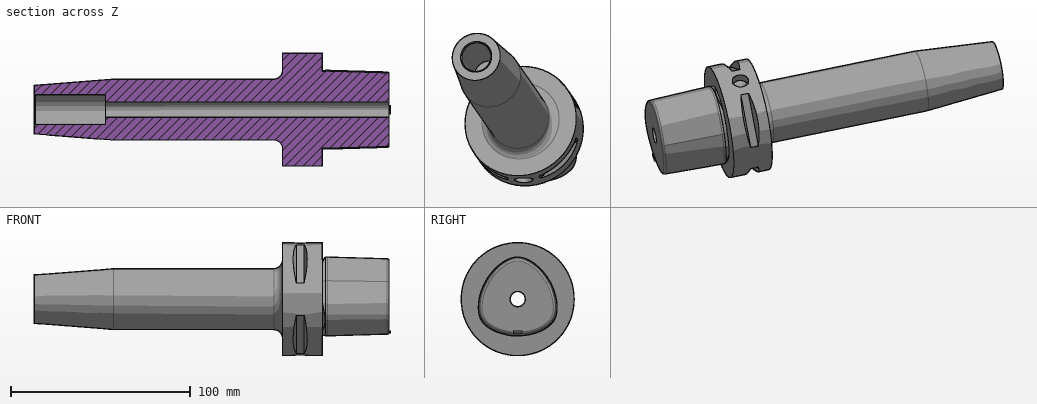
import cadquery as cq
import math

cone_end = 44.2
flange_start = 138.0
flange_end = 160.2
neck_end = 162.0
taper_start = 163.2
body_end = 197.5
overall_length = 198.0

nose_diameter = 27.1
shank_diameter = 34.0
flange_diameter = 63.0
shank_fillet = 4.8

socket_diameter = 16.5
socket_depth = 39.6
socket_chamfer = 0.5
through_diameter = 8.3

lobe_height = 1.48
coupling_radius = 22.0
coupling_end_radius = 21.0
neck_inset = 0.2
relief_radius = 21.8
coupling_end_round = 1.2
points_per_lobe = 12

groove_x = 148.0
slot_floor_width = 4.4
slot_floor_radius = 27.7
slot_side_angle = 25.0
slot_height = 6.0
dimple_diameter = 9.0
dimple_depth = 5.0
drill_tip_angle = 118.0
pocket_diameter = 10.0
pocket_depth = 4.5

nub_width = 4.8
nub_height = 1.2
nub_z = -18.2
nub_root = 3.0


def turned_body():
    nose_radius = nose_diameter / 2
    shank_radius = shank_diameter / 2
    flange_radius = flange_diameter / 2
    arc_offset = shank_fillet * math.sqrt(0.5)
    fillet_start = flange_start - shank_fillet
    fillet_top = shank_radius + shank_fillet
    profile = (
        cq.Workplane("XY")
        .moveTo(0, 0)
        .lineTo(0, nose_radius)
        .lineTo(cone_end, shank_radius)
        .lineTo(fillet_start, shank_radius)
        .threePointArc(
            (fillet_start + arc_offset, fillet_top - arc_offset),
            (flange_start, fillet_top),
        )
        .lineTo(flange_start, flange_radius)
        .lineTo(flange_end, flange_radius)
        .lineTo(flange_end, 0)
        .close()
    )
    return profile.revolve(360, (0, 0, 0), (1, 0, 0))


def lobe_point(x, mean_radius, angle):
    """Point on a constant-width curve with one lobe toward +Z."""
    phase = 3 * (angle - math.pi / 2)
    support = mean_radius + lobe_height * math.cos(phase)
    slope = -3 * lobe_height * math.sin(phase)
    y = support * math.cos(angle) - slope * math.sin(angle)
    z = support * math.sin(angle) + slope * math.cos(angle)
    return cq.Vector(x, y, z)


def lobed_wire(x, mean_radius):
    """Closed outline of three smooth arcs, joined midway between the lobes."""
    edges = []
    lobe_span = 2 * math.pi / 3
    for lobe in range(3):
        start = math.pi / 6 + lobe * lobe_span
        points = [
            lobe_point(x, mean_radius, start + lobe_span * step / points_per_lobe)
            for step in range(points_per_lobe + 1)
        ]
        tangents = [
            cq.Vector(0, -math.sin(angle), math.cos(angle))
            for angle in (start, start + lobe_span)
        ]
        edges.append(cq.Edge.makeSpline(points, tangents=tangents))
    return cq.Wire.assembleEdges(edges)


def lobed_solid(start, start_radius, end, end_radius):
    wires = [lobed_wire(start, start_radius), lobed_wire(end, end_radius)]
    return cq.Workplane(cq.Solid.makeLoft(wires, True))


def coupling():
    neck_radius = coupling_radius - neck_inset
    neck = lobed_solid(flange_end, neck_radius, neck_end, neck_radius)
    collar = lobed_solid(neck_end, coupling_radius, taper_start, coupling_radius)
    taper = lobed_solid(taper_start, coupling_radius, body_end, coupling_end_radius)
    taper = taper.faces(">X").edges().fillet(coupling_end_round)
    lobe_radius = coupling_radius + lobe_height
    relief = (
        cq.Workplane("XY")
        .polyline([
            (flange_end, 0),
            (flange_end, relief_radius),
            (neck_end, lobe_radius),
            (neck_end, 0),
        ])
        .close()
        .revolve(360, (0, 0, 0), (1, 0, 0))
    )
    return neck.intersect(relief).union(collar).union(taper)


def gripper_slot(angle):
    half_floor = slot_floor_width / 2
    half_top = half_floor + slot_height * math.tan(math.radians(slot_side_angle))
    slot_top = slot_floor_radius + slot_height
    return (
        cq.Workplane("XZ")
        .polyline([
            (groove_x - half_floor, slot_floor_radius),
            (groove_x + half_floor, slot_floor_radius),
            (groove_x + half_top, slot_top),
            (groove_x - half_top, slot_top),
        ])
        .close()
        .extrude(flange_diameter / 2, both=True)
        .rotate((0, 0, 0), (1, 0, 0), angle)
    )


def index_dimple():
    """Drilled hole with a conical tip in the +Z side of the flange."""
    radius = dimple_diameter / 2
    flange_radius = flange_diameter / 2
    floor = flange_radius - dimple_depth
    tip = floor - radius / math.tan(math.radians(drill_tip_angle / 2))
    return (
        cq.Workplane("XZ")
        .polyline([
            (groove_x, tip),
            (groove_x + radius, floor),
            (groove_x + radius, flange_radius),
            (groove_x, flange_radius),
        ])
        .close()
        .revolve(360, (groove_x, 0, 0), (groove_x, 1, 0))
    )


def bottom_pocket():
    """Flat-bottomed round pocket in the -Z side of the flange."""
    return (
        cq.Workplane("XY", origin=(groove_x, 0, -flange_diameter / 2))
        .circle(pocket_diameter / 2)
        .extrude(pocket_depth)
    )


def bore():
    socket_radius = socket_diameter / 2
    through_radius = through_diameter / 2
    return (
        cq.Workplane("XY")
        .polyline([
            (0, 0),
            (0, socket_radius + socket_chamfer),
            (socket_chamfer, socket_radius),
            (socket_depth, socket_radius),
            (socket_depth, through_radius),
            (overall_length, through_radius),
            (overall_length, 0),
        ])
        .close()
        .revolve(360, (0, 0, 0), (1, 0, 0))
    )


def end_nub():
    return (
        cq.Workplane("YZ", origin=(overall_length, 0, nub_z))
        .rect(nub_width, nub_height)
        .extrude(-nub_root)
    )


result = turned_body().union(coupling()).union(end_nub())
for slot_angle in (45, 135, 225, 315):
    result = result.cut(gripper_slot(slot_angle))
result = result.cut(index_dimple()).cut(bottom_pocket()).cut(bore())